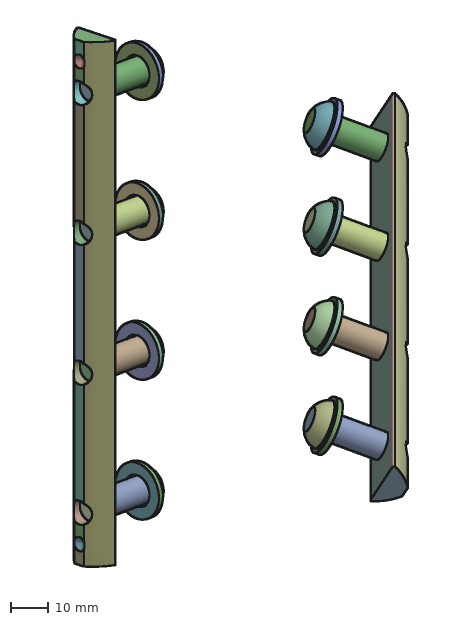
import cadquery as cq

rail_length = 150.0
rail_width = 14.0
rail_depth = 7.0
back_corner_radius = 0.5
rail_nose_width = 3.4
flank_bulge = 0.55

screw_count = 4
screw_pitch = 40.0
shank_diameter = 8.0
shank_length = 20.3
clamped_gap = 15.5
flange_diameter = 16.0
flange_bore_diameter = 9.0
flange_thickness = 1.6
dome_base_diameter = 13.8
dome_top_diameter = 7.0
dome_height = 4.0
dome_rim_height = 0.4
dome_bulge = 0.6

access_hole_diameter = 6.8
dimple_diameter = 4.0
dimple_offset = 6.0
dimple_depth = 1.3

screw_depth = shank_length - flange_thickness - clamped_gap
screw_heights = [
    (index - (screw_count - 1) / 2) * screw_pitch for index in range(screw_count)
]
dimple_height = rail_length / 2 - dimple_offset


def bulged_midpoint(start, end, bulge):
    """Middle of an arc that stands off its chord by bulge, to the right of start -> end."""
    chord = cq.Vector(end[0] - start[0], end[1] - start[1])
    outward = cq.Vector(chord.y, -chord.x).normalized() * bulge
    return (
        (start[0] + end[0]) / 2 + outward.x,
        (start[1] + end[1]) / 2 + outward.y,
    )


def y_cylinder(diameter, start_y, length, z):
    """Cylinder along +Y at height z, starting at start_y."""
    return cq.Workplane(cq.Solid.makeCylinder(
        diameter / 2, length, cq.Vector(0, start_y, z), cq.Vector(0, 1, 0)
    ))


def make_dimple(z):
    """Conical dimple in the nose of the rail."""
    return cq.Workplane(cq.Solid.makeCone(
        dimple_diameter / 2, 0, dimple_depth, cq.Vector(0, -rail_depth, z), cq.Vector(0, 1, 0)
    ))


def make_rail():
    """Bar with its back face on Y = 0, the screw holes and the two end dimples."""
    back = rail_width / 2
    nose = rail_nose_width / 2
    left_nose = (-nose, -rail_depth)
    right_nose = (nose, -rail_depth)
    left_edge = (-back, -back_corner_radius)
    right_edge = (back, -back_corner_radius)
    rail = (
        cq.Workplane("XY")
        .workplane(offset=-rail_length / 2)
        .moveTo(-back + back_corner_radius, 0)
        .radiusArc(left_edge, -back_corner_radius)
        .threePointArc(bulged_midpoint(left_edge, left_nose, flank_bulge), left_nose)
        .lineTo(*right_nose)
        .threePointArc(bulged_midpoint(right_nose, right_edge, flank_bulge), right_edge)
        .radiusArc((back - back_corner_radius, 0), -back_corner_radius)
        .close()
        .extrude(rail_length)
    )
    for z in screw_heights:
        rail = rail.cut(y_cylinder(access_hole_diameter, -rail_depth, rail_depth, z))
        rail = rail.cut(y_cylinder(shank_diameter, -screw_depth, screw_depth, z))
    for z in (-dimple_height, dimple_height):
        rail = rail.cut(make_dimple(z))
    return rail


def make_screw(z):
    """Dome-head screw turned about an axis along Y; its flange clears the shank by a narrow gap."""
    tip_y = -screw_depth
    flange_y = clamped_gap
    rim_y = flange_y + flange_thickness
    dome_y = rim_y + dome_rim_height
    top_y = dome_y + dome_height
    dome_base = (dome_base_diameter / 2, dome_y)
    dome_top = (dome_top_diameter / 2, top_y)
    return (
        cq.Workplane("XY", origin=(0, 0, z))
        .moveTo(0, tip_y)
        .lineTo(shank_diameter / 2, tip_y)
        .lineTo(shank_diameter / 2, rim_y)
        .lineTo(flange_bore_diameter / 2, rim_y)
        .lineTo(flange_bore_diameter / 2, flange_y)
        .lineTo(flange_diameter / 2, flange_y)
        .lineTo(flange_diameter / 2, rim_y)
        .lineTo(dome_base_diameter / 2, rim_y)
        .lineTo(*dome_base)
        .threePointArc(bulged_midpoint(dome_base, dome_top, dome_bulge), dome_top)
        .lineTo(0, top_y)
        .close()
        .revolve(360, (0, 0, 0), (0, 1, 0))
    )


rail = make_rail()
screws = [make_screw(z) for z in screw_heights]

result = cq.Compound.makeCompound([rail.val(), *[screw.val() for screw in screws]])